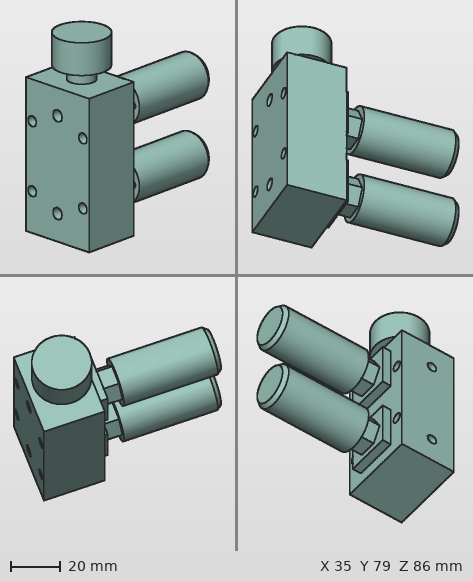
import cadquery as cq

block_width = 35.0
block_depth = 26.0
overall_depth = 78.95
overall_height = 86.0

knob_diameter = 24.0
knob_height = 14.0
stem_diameter = 12.0
stem_height = 6.0
knob_y = 14.0
block_height = overall_height - knob_height - stem_height

cartridge_heights = (16.0, 50.0)
barrel_diameter = 20.0
tip_length = 2.0
tip_inset = 1.5
flange_side = barrel_diameter
flange_length = 4.0
hex_length = 7.0
hex_across_corners = 16.0
barrel_length = overall_depth - block_depth - flange_length - hex_length - tip_length

mount_diameter = 4.5
mount_x = 14.0
mount_heights = (18.0, 48.0)

port_heights = (12.0, 54.0)
front_port_diameter = 5.0
side_port_diameter = 4.3
side_port_y = 11.0
port_depth = 10.0

along_x = cq.Vector(1, 0, 0)
along_y = cq.Vector(0, 1, 0)


def rod_along_y(x, z, start_y, diameter, length):
    """Round rod whose axis runs in +Y from (x, start_y, z)."""
    axis_start = cq.Vector(x, start_y, z)
    return cq.Workplane(cq.Solid.makeCylinder(diameter / 2, length, axis_start, along_y))


def make_block():
    return cq.Workplane("XY").box(block_width, block_depth, block_height, centered=(True, False, False))


def make_knob():
    """Stem rising from the top face, with the wider knob on its end."""
    stem = cq.Workplane("XY", origin=(0, knob_y, block_height)).circle(stem_diameter / 2).extrude(stem_height)
    return stem.faces(">Z").workplane().circle(knob_diameter / 2).extrude(knob_height)


def make_cartridge(z):
    """Cartridge with its axis at height z; two hexagon corners point along X."""
    hex_start = block_depth + flange_length
    barrel_start = hex_start + hex_length
    flange = cq.Workplane("XZ", origin=(0, block_depth, z)).rect(flange_side, flange_side)
    flange = flange.extrude(-flange_length)
    hexagon = cq.Workplane("XZ", origin=(0, hex_start, z)).polygon(6, hex_across_corners).extrude(-hex_length)
    barrel = rod_along_y(0, z, barrel_start, barrel_diameter, barrel_length)
    barrel_radius = barrel_diameter / 2
    tip_start = cq.Vector(0, barrel_start + barrel_length, z)
    tip = cq.Solid.makeCone(barrel_radius, barrel_radius - tip_inset, tip_length, tip_start, along_y)
    return flange.union(hexagon).union(barrel).union(cq.Workplane(tip))


def side_port(z):
    """Cutter for a blind port running in +X from the side face."""
    port_start = cq.Vector(-block_width / 2, side_port_y, z)
    return cq.Solid.makeCylinder(side_port_diameter / 2, port_depth, port_start, along_x)


result = make_block().union(make_knob())

for z in cartridge_heights:
    result = result.union(make_cartridge(z))

for z in mount_heights:
    for x in (-mount_x, mount_x):
        result = result.cut(rod_along_y(x, z, 0, mount_diameter, block_depth))

for z in port_heights:
    result = result.cut(rod_along_y(0, z, 0, front_port_diameter, port_depth))
    result = result.cut(side_port(z))